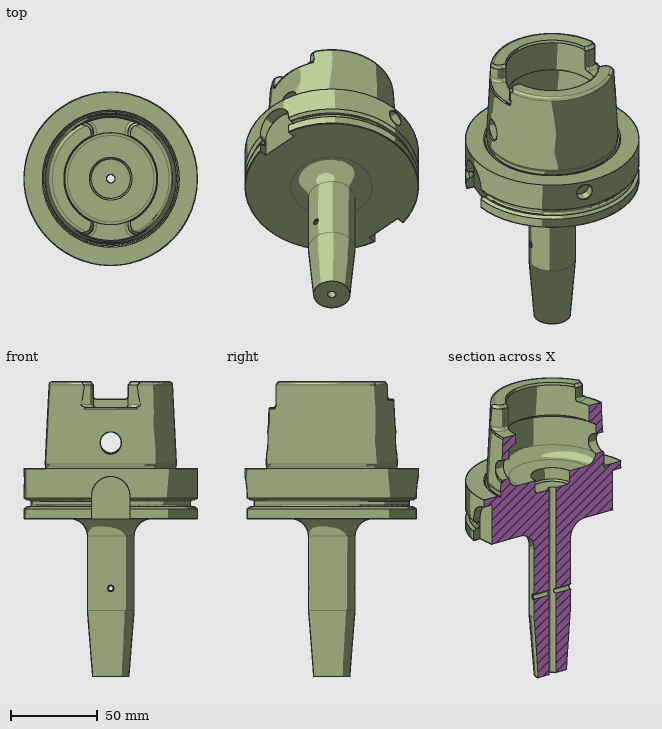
import cadquery as cq
import math

ARC_MID = 1 - math.sqrt(0.5)

TOP_Z = 50.0
FLANGE_BOTTOM_Z = -29.0
NOSE_TOP_Z = -81.8
TIP_Z = -119.9

FLANGE_R = 50.0
FLANGE_CHAMFER = 0.3
GROOVE_MID_Z = -20.05
GROOVE_FLOOR_R = 46.0
GROOVE_FLOOR_WIDTH = 3.8
GROOVE_LIP = 1.9
GROOVE_MOUTH_WIDTH = 6.4
GROOVE_CORNER_R = 0.9

GAUGE_R = 37.5
GAUGE_Z = 10.0
TAPER_SLOPE = 0.05
TOP_ROUND = 1.9
TAPER_BASE_Z = 2.6
RELIEF_NECK_R = 37.6
RELIEF_OUTER_R = 39.5
RELIEF_DEPTH = 0.8
TAPER_BASE_BEVEL = 1.3

BORE_R = 26.5
BORE_CHAMFER = 0.6
BORE_CHAMFER_HEIGHT = 1.4
CLAMP_LEDGE_DEPTH = 20.0
CAVITY_R = 31.5
CAVITY_FLOOR_Z = 3.0
CAVITY_FLOOR_FILLET = 6.6
CLAMP_CONE_ANGLE = 30.0
FLOOR_POCKET_R = 12.3
FLOOR_POCKET_DEPTH = 8.0
FLOOR_POCKET_CHAMFER = 1.0
THROUGH_R = 2.4

NECK_R = 13.5
TIP_R = 10.5
NECK_FILLET = 10.0

NOTCH_HALF_WIDTH = 10.0
NOTCH_ROUND_START_Y = 27.0
NOTCH_ROUND_R = 5.2
NOTCH_INNER_Y = 15.0
NOTCH_REACH = 45.0
EDGE_MARGIN = 0.1
NOTCH_FLOOR_FILLET = 1.8
NOTCH_TOP_CHAMFER = 1.5
NOTCH_TOP_CHAMFER_HEIGHT = 1.9
FRONT_NOTCH_Z = 35.0
BACK_NOTCH_Z = 40.0
NOTCH_RIM_CHAMFER = 0.7

KEYWAY_R = 11.0
KEYWAY_TOP_Z = -4.6
KEYWAY_FLOOR_Y = 44.0

ACCESS_HOLE_R = 6.0
ACCESS_HOLE_Z = 15.0
ACCESS_SINK_Y = 36.8
NECK_HOLE_R = 1.4
NECK_HOLE_Z = -69.0
NECK_SINK_Y = 13.0
SINK_LENGTH = 2.0
FLANGE_HOLE_R = 4.8
FLANGE_HOLE_CHAMFER = 0.3
FLANGE_HOLE_Z = -7.0
FLANGE_HOLE_DEPTH = 6.0


def half_turned(tool):
    """Half a turn about Z, which carries a tool to the opposite side of the part."""
    return tool.rotate((0, 0, 0), (0, 0, 1), 180)


def taper_radius(z):
    return GAUGE_R - (z - GAUGE_Z) * TAPER_SLOPE


def outer_body():
    groove_top = GROOVE_MID_Z + GROOVE_MOUTH_WIDTH / 2
    groove_low = GROOVE_MID_Z - GROOVE_MOUTH_WIDTH / 2
    floor_top = GROOVE_MID_Z + GROOVE_FLOOR_WIDTH / 2
    floor_low = GROOVE_MID_Z - GROOVE_FLOOR_WIDTH / 2
    lip_r = FLANGE_R - GROOVE_LIP
    neck_blend = NECK_FILLET * ARC_MID
    corner_bulge = GROOVE_CORNER_R * ARC_MID
    corner_r = GROOVE_FLOOR_R + GROOVE_CORNER_R
    profile = (
        cq.Workplane("XZ")
        .moveTo(0, TIP_Z)
        .lineTo(TIP_R, TIP_Z)
        .lineTo(NECK_R, NOSE_TOP_Z)
        .lineTo(NECK_R, FLANGE_BOTTOM_Z - NECK_FILLET)
        .threePointArc(
            (NECK_R + neck_blend, FLANGE_BOTTOM_Z - neck_blend),
            (NECK_R + NECK_FILLET, FLANGE_BOTTOM_Z),
        )
        .lineTo(FLANGE_R - FLANGE_CHAMFER, FLANGE_BOTTOM_Z)
        .lineTo(FLANGE_R, FLANGE_BOTTOM_Z + FLANGE_CHAMFER)
        .lineTo(FLANGE_R, groove_low)
        .lineTo(lip_r, floor_low)
        .lineTo(corner_r, floor_low)
        .threePointArc(
            (GROOVE_FLOOR_R + corner_bulge, floor_low + corner_bulge),
            (GROOVE_FLOOR_R, floor_low + GROOVE_CORNER_R),
        )
        .lineTo(GROOVE_FLOOR_R, floor_top - GROOVE_CORNER_R)
        .threePointArc(
            (GROOVE_FLOOR_R + corner_bulge, floor_top - corner_bulge),
            (corner_r, floor_top),
        )
        .lineTo(lip_r, floor_top)
        .lineTo(FLANGE_R, groove_top)
        .lineTo(FLANGE_R, 0)
        .lineTo(RELIEF_OUTER_R, 0)
        .lineTo(RELIEF_OUTER_R - RELIEF_DEPTH, -RELIEF_DEPTH)
        .lineTo(RELIEF_NECK_R, -RELIEF_DEPTH)
        .lineTo(RELIEF_NECK_R, TAPER_BASE_Z - TAPER_BASE_BEVEL)
        .lineTo(taper_radius(TAPER_BASE_Z), TAPER_BASE_Z)
        .lineTo(taper_radius(TOP_Z), TOP_Z)
        .lineTo(0, TOP_Z)
        .close()
    )
    body = profile.revolve(360, (0, 0, 0), (0, 1, 0))
    return body.faces(">Z").edges().fillet(TOP_ROUND)


def interior():
    ledge_z = TOP_Z - CLAMP_LEDGE_DEPTH
    cone_height = (CAVITY_R - BORE_R) * math.tan(math.radians(CLAMP_CONE_ANGLE))
    corner_bulge = CAVITY_FLOOR_FILLET * ARC_MID
    pocket_z = CAVITY_FLOOR_Z - FLOOR_POCKET_DEPTH
    profile = (
        cq.Workplane("XZ")
        .moveTo(0, TIP_Z)
        .lineTo(THROUGH_R, TIP_Z)
        .lineTo(THROUGH_R, pocket_z)
        .lineTo(FLOOR_POCKET_R - FLOOR_POCKET_CHAMFER, pocket_z)
        .lineTo(FLOOR_POCKET_R, pocket_z + FLOOR_POCKET_CHAMFER)
        .lineTo(FLOOR_POCKET_R, CAVITY_FLOOR_Z)
        .lineTo(CAVITY_R - CAVITY_FLOOR_FILLET, CAVITY_FLOOR_Z)
        .threePointArc(
            (CAVITY_R - corner_bulge, CAVITY_FLOOR_Z + corner_bulge),
            (CAVITY_R, CAVITY_FLOOR_Z + CAVITY_FLOOR_FILLET),
        )
        .lineTo(CAVITY_R, ledge_z - cone_height)
        .lineTo(BORE_R, ledge_z)
        .lineTo(BORE_R, TOP_Z - BORE_CHAMFER_HEIGHT)
        .lineTo(BORE_R + BORE_CHAMFER, TOP_Z)
        .lineTo(0, TOP_Z)
        .close()
    )
    return profile.revolve(360, (0, 0, 0), (0, 1, 0))


def notch_outline(workplane, spread):
    half = NOTCH_HALF_WIDTH + spread
    radius = NOTCH_ROUND_R - spread
    center_x = NOTCH_HALF_WIDTH + NOTCH_ROUND_R
    center_y = NOTCH_ROUND_START_Y
    out_x = center_x / math.hypot(center_x, center_y)
    out_y = center_y / math.hypot(center_x, center_y)
    end = (center_x + radius * out_x, center_y + radius * out_y)
    crown = (center_x - radius * math.sqrt(0.5), center_y + radius * math.sqrt(0.5))
    exit_point = (center_x + NOTCH_REACH * out_x, center_y + NOTCH_REACH * out_y)
    return (
        workplane
        .moveTo(-half, NOTCH_INNER_Y)
        .lineTo(-half, center_y)
        .threePointArc((-crown[0], crown[1]), (-end[0], end[1]))
        .lineTo(-exit_point[0], exit_point[1])
        .lineTo(*exit_point)
        .lineTo(*end)
        .threePointArc(crown, (half, center_y))
        .lineTo(half, NOTCH_INNER_Y)
        .close()
    )


def notch_tool(floor_z):
    walls = notch_outline(cq.Workplane("XY").workplane(offset=floor_z), 0).extrude(TOP_Z - floor_z)
    side_floor_edges = cq.selectors.BoxSelector(
        (-FLANGE_R, NOTCH_INNER_Y + EDGE_MARGIN, floor_z - EDGE_MARGIN),
        (FLANGE_R, FLANGE_R, floor_z + EDGE_MARGIN),
    )
    walls = walls.edges(side_floor_edges).fillet(NOTCH_FLOOR_FILLET)
    lower = notch_outline(cq.Workplane("XY").workplane(offset=TOP_Z - NOTCH_TOP_CHAMFER_HEIGHT), 0)
    upper = notch_outline(lower.workplane(offset=NOTCH_TOP_CHAMFER_HEIGHT), NOTCH_TOP_CHAMFER)
    return walls.union(upper.loft(ruled=True))


def notch_rim_chamfer(floor_z):
    rim_r = taper_radius(floor_z)
    ring = (
        cq.Workplane("XZ")
        .moveTo(rim_r - NOTCH_RIM_CHAMFER, floor_z)
        .lineTo(rim_r + NOTCH_RIM_CHAMFER, floor_z)
        .lineTo(rim_r + NOTCH_RIM_CHAMFER, floor_z - 2 * NOTCH_RIM_CHAMFER)
        .close()
        .revolve(360, (0, 0, 0), (0, 1, 0))
    )
    rim_width = 2 * (NOTCH_HALF_WIDTH + NOTCH_ROUND_R)
    notch_side = cq.Workplane("XY").box(rim_width, NOTCH_REACH, TOP_Z, centered=(True, False, False))
    return ring.intersect(notch_side)


def drive_notch(floor_z):
    return notch_tool(floor_z).union(notch_rim_chamfer(floor_z))


def keyway_tool():
    arch_z = KEYWAY_TOP_Z - KEYWAY_R
    return (
        cq.Workplane("XZ", origin=(0, -KEYWAY_FLOOR_Y, 0))
        .moveTo(-KEYWAY_R, FLANGE_BOTTOM_Z)
        .lineTo(-KEYWAY_R, arch_z)
        .threePointArc((0, KEYWAY_TOP_Z), (KEYWAY_R, arch_z))
        .lineTo(KEYWAY_R, FLANGE_BOTTOM_Z)
        .close()
        .extrude(FLANGE_R - KEYWAY_FLOOR_Y)
    )


def cross_hole(radius, z):
    return cq.Workplane("XZ").center(0, z).circle(radius).extrude(FLANGE_R, both=True)


def countersink(radius, z, start_y):
    """45 degree cones on the front and back, with the given radius at start_y from the axis."""
    start = cq.Vector(0, start_y, z)
    outward = cq.Vector(0, 1, 0)
    cone = cq.Workplane(cq.Solid.makeCone(radius, radius + SINK_LENGTH, SINK_LENGTH, start, outward))
    return cone.union(half_turned(cone))


def flange_hole():
    hole = (
        cq.Workplane("YZ", origin=(-FLANGE_R, 0, FLANGE_HOLE_Z))
        .circle(FLANGE_HOLE_R)
        .extrude(FLANGE_HOLE_DEPTH)
    )
    mouth = cq.Solid.makeCone(
        FLANGE_HOLE_R + FLANGE_HOLE_CHAMFER,
        FLANGE_HOLE_R,
        FLANGE_HOLE_CHAMFER,
        cq.Vector(-FLANGE_R, 0, FLANGE_HOLE_Z),
        cq.Vector(1, 0, 0),
    )
    return hole.union(cq.Workplane(mouth))


result = outer_body().cut(interior())
result = result.cut(half_turned(drive_notch(FRONT_NOTCH_Z)))
result = result.cut(drive_notch(BACK_NOTCH_Z))
result = result.cut(keyway_tool()).cut(half_turned(keyway_tool()))
result = result.cut(cross_hole(ACCESS_HOLE_R, ACCESS_HOLE_Z))
result = result.cut(countersink(ACCESS_HOLE_R, ACCESS_HOLE_Z, ACCESS_SINK_Y))
result = result.cut(cross_hole(NECK_HOLE_R, NECK_HOLE_Z))
result = result.cut(countersink(NECK_HOLE_R, NECK_HOLE_Z, NECK_SINK_Y))
result = result.cut(flange_hole())